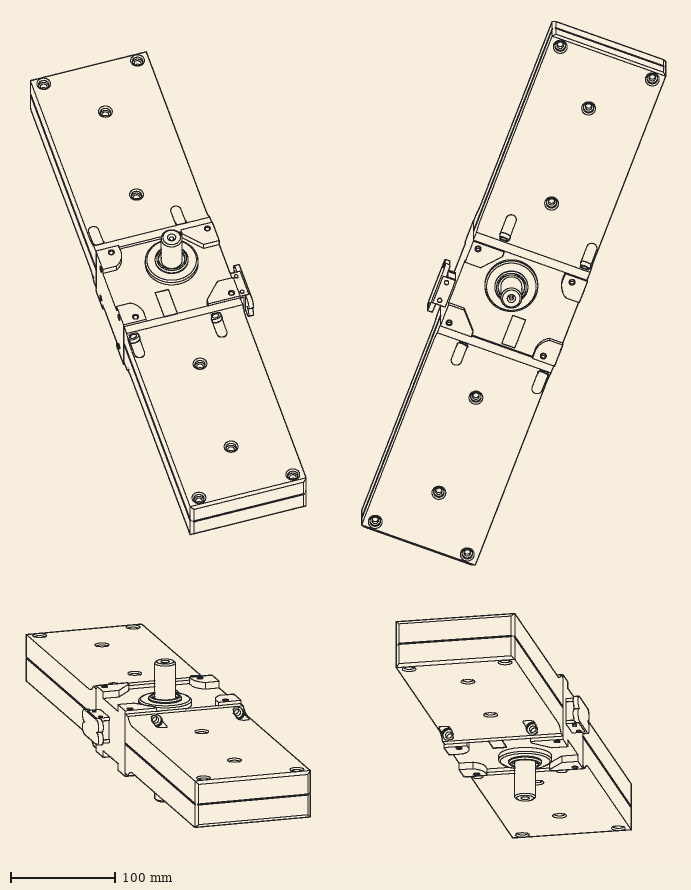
import cadquery as cq
import math


TOTAL_LENGTH = 529.0
ARM_WIDTH = 116.5
ARM_HEIGHT = 46.5
ARM_END_BEVEL_X = 2.0
ARM_END_BEVEL_INSET = 3.0
SEAM_WIDTH = 1.0
SEAM_DEPTH = 0.5
SHOULDER_HEIGHT = 59.0
SHOULDER_FLANK_X = 55.5
SHOULDER_CHAMFER = 1.5
SHOULDER_ARC_X = 67.5

BLOCK_LENGTH = 91.0
BLOCK_HEIGHT = 65.5
BLOCK_FRONT_STEP = 0.5
DECK_HEIGHT = 52.5
PAD_INNER_X = 23.0
PAD_CORNER_X = 40.5
BACK_PAD_BEVEL_Y = 42.5
BACK_PAD_EDGE_Y = 26.5
FRONT_PAD_EDGE_Y = -36.0
FRONT_PAD_ARC_MIDDLE = (28.0, -39.0)
FRONT_PAD_ARC_END_Y = -45.0

COVER_HOLE_DIAMETER = 6.5
COVER_BORE_DIAMETER = 10.0
COVER_RIM_DIAMETER = 13.0
COVER_BORE_DEPTH = 5.0
COVER_HOLE_DEPTH = 10.5
CORNER_HOLE_X = 255.0
CORNER_HOLE_Y = 47.0
MIDDLE_HOLES_X = (104.0, 206.5)
TROUGH_DIAMETER = 10.0
TROUGH_END_X = 80.5
TROUGH_Z = 24.0
SEAT_DIAMETER = 11.0
SEAT_X = 55.0
SEAT_LENGTH = 4.0
SHOULDER_HOLE_DIAMETER = 6.5
SHOULDER_HOLE_DEPTH = 6.5
TROUGHS_Y = (30.5, -52.0)
TAPPED_DIAMETER = 4.1
TAPPED_RIM_DIAMETER = 6.0
TAPPED_DEPTH = 8.0
PAD_HOLE_X = 39.5
PAD_HOLES_Y = (51.5, -45.0)
FRONT_HOLE_X = 29.5
FRONT_HOLE_Z = 24.0

PLATE_LENGTH = 30.0
PLATE_WIDTH = 13.0
PLATE_DEPTH = 0.5
PLATE_X = 28.5
PLATE_Y = -10.5

SHAFT_X = -15.0
SHAFT_Y = 8.0
SHAFT_LENGTH = 138.0
SHAFT_DIAMETER = 20.0
SHAFT_CHAMFER = 1.5
CENTRE_HOLE_DIAMETER = 4.1
CENTRE_HOLE_RIM_DIAMETER = 8.0
CENTRE_HOLE_DEPTH = 8.0
BOSS_DIAMETER = 51.0
BOSS_TOP_Z = 32.0
BOSS_CHAMFER = 1.5
RING_DIAMETER = 32.0
RING_TOP_Z = 34.5
RING_CHAMFER = 1.5
RING_RECESS_DIAMETER = 25.5
RING_RECESS_DEPTH = 2.5

CONNECTOR_X = 18.0
CONNECTOR_REACH = 14.5
NECK_LENGTH = 28.5
NECK_HEIGHT = 25.5
NECK_END_GAP = 1.5
SIDE_RECESS_HEIGHT = 19.0
SIDE_RECESS_DEPTH = 0.5
SIDE_RECESS_REACH = 8.0
FLANGE_LENGTH = 50.0
FLANGE_HEIGHT = 25.0
FLANGE_THICKNESS = 5.0
SCREW_HOLE_DIAMETER = 3.6
SCREW_HOLE_DEPTH = 5.5
SCREW_HEAD_DIAMETER = 4.1
SCREW_HEAD_HEIGHT = 1.0
SCREW_SPACING = 19.0
SCREW_REACH = 7.5

ARM_HALF_Z = ARM_HEIGHT / 2
BLOCK_HALF_X = BLOCK_LENGTH / 2
BLOCK_HALF_Z = BLOCK_HEIGHT / 2
DECK_Z = DECK_HEIGHT / 2
BACK_Y = ARM_WIDTH / 2
BLOCK_FRONT_Y = -ARM_WIDTH / 2 - BLOCK_FRONT_STEP
ENDS = (1, -1)


def z_cylinder(diameter, z_start, z_end, x, y):
    return cq.Workplane("XY", origin=(x, y, z_start)).circle(diameter / 2).extrude(z_end - z_start)


def arm_blank():
    """Arm with a raised shoulder against the block, above and below, on the +X side."""
    bevel_x = TOTAL_LENGTH / 2 - ARM_END_BEVEL_X
    bevel_taper = math.degrees(math.atan(ARM_END_BEVEL_INSET / ARM_END_BEVEL_X))
    blank = (
        cq.Workplane("YZ", origin=(BLOCK_HALF_X, 0, 0))
        .rect(ARM_WIDTH, ARM_HEIGHT)
        .extrude(bevel_x - BLOCK_HALF_X)
    )
    end_cap = (
        cq.Workplane("YZ", origin=(bevel_x, 0, 0))
        .rect(ARM_WIDTH, ARM_HEIGHT)
        .extrude(ARM_END_BEVEL_X, taper=bevel_taper)
    )
    top_z = SHOULDER_HEIGHT / 2
    run = SHOULDER_ARC_X - SHOULDER_FLANK_X
    rise = top_z - SHOULDER_CHAMFER - ARM_HALF_Z
    radius = (run**2 + rise**2) / (2 * rise)
    half_angle = math.asin(run / radius) / 2
    arc_middle = (
        SHOULDER_ARC_X - radius * math.sin(half_angle),
        ARM_HALF_Z + radius * (1 - math.cos(half_angle)),
    )
    shoulder = (
        cq.Workplane("XZ", origin=(0, ARM_WIDTH / 2, 0))
        .moveTo(BLOCK_HALF_X, 0)
        .lineTo(BLOCK_HALF_X, top_z)
        .lineTo(SHOULDER_FLANK_X - SHOULDER_CHAMFER, top_z)
        .lineTo(SHOULDER_FLANK_X, top_z - SHOULDER_CHAMFER)
        .threePointArc(arc_middle, (SHOULDER_ARC_X, ARM_HALF_Z))
        .lineTo(SHOULDER_ARC_X, 0)
        .close()
        .extrude(ARM_WIDTH)
    )
    return blank.union(end_cap).union(shoulder).union(shoulder.mirror("XY"))


def seam_groove():
    """Shallow groove around the arm at mid height."""
    length = TOTAL_LENGTH / 2 - BLOCK_HALF_X
    outer = cq.Workplane("XY").box(2 * length, 2 * ARM_WIDTH, SEAM_WIDTH)
    core = cq.Workplane("XY").box(
        2 * (length - SEAM_DEPTH), ARM_WIDTH - 2 * SEAM_DEPTH, SEAM_WIDTH
    )
    return outer.cut(core).translate((BLOCK_HALF_X, 0, 0))


def countersunk_hole(surface, rim_diameter, diameter, depth):
    """Blind hole with a 90 degree countersink, sunk against the normal of the surface plane."""
    start = cq.Workplane(surface)
    sink_depth = (rim_diameter - diameter) / 2
    drill = start.circle(diameter / 2).extrude(-depth)
    sink = (
        start.circle(rim_diameter / 2)
        .workplane(offset=-sink_depth)
        .circle(diameter / 2)
        .loft()
    )
    return drill.union(sink)


def cover_hole(x, y):
    """Counterbored screw hole in the top of the arm, with a bevelled rim."""
    surface = cq.Plane((x, y, ARM_HALF_Z))
    bore = countersunk_hole(surface, COVER_RIM_DIAMETER, COVER_BORE_DIAMETER, COVER_BORE_DEPTH)
    hole = z_cylinder(COVER_HOLE_DIAMETER, ARM_HALF_Z - COVER_HOLE_DEPTH, ARM_HALF_Z, x, y)
    return bore.union(hole)


def trough(y):
    """Ball-ended channel along X that leads to a screw hole in the shoulder."""
    radius = TROUGH_DIAMETER / 2
    ball_x = TROUGH_END_X - radius
    seat = cq.Workplane("YZ", origin=(SEAT_X, y, TROUGH_Z))
    channel = seat.circle(radius).extrude(ball_x - SEAT_X)
    ball = cq.Workplane("XY", origin=(ball_x, y, TROUGH_Z)).sphere(radius)
    seat_bore = seat.circle(SEAT_DIAMETER / 2).extrude(SEAT_LENGTH)
    hole = seat.circle(SHOULDER_HOLE_DIAMETER / 2).extrude(-SHOULDER_HOLE_DEPTH)
    return channel.union(ball).union(seat_bore).union(hole)


def make_arm():
    arm = arm_blank().cut(seam_groove())
    hole_places = [(CORNER_HOLE_X, side * CORNER_HOLE_Y) for side in ENDS]
    hole_places += [(x, 0) for x in MIDDLE_HOLES_X]
    cutters = [cover_hole(x, y) for x, y in hole_places]
    cutters += [trough(y) for y in TROUGHS_Y]
    for cutter in cutters:
        arm = arm.cut(cutter).cut(cutter.mirror("XY"))
    return arm


def corner_pads():
    """The +X pads on the top deck: a bevelled one at the back, a rounded one in front."""
    height = BLOCK_HALF_Z - DECK_Z
    deck = cq.Workplane("XY", origin=(0, 0, DECK_Z))
    back_pad = (
        deck.moveTo(BLOCK_HALF_X, BACK_Y)
        .lineTo(PAD_INNER_X, BACK_Y)
        .lineTo(PAD_INNER_X, BACK_PAD_BEVEL_Y)
        .lineTo(PAD_CORNER_X, BACK_PAD_EDGE_Y)
        .lineTo(BLOCK_HALF_X, BACK_PAD_EDGE_Y)
        .close()
        .extrude(height)
    )
    front_pad = (
        deck.moveTo(BLOCK_HALF_X, BLOCK_FRONT_Y)
        .lineTo(PAD_INNER_X, BLOCK_FRONT_Y)
        .lineTo(PAD_INNER_X, FRONT_PAD_ARC_END_Y)
        .threePointArc(FRONT_PAD_ARC_MIDDLE, (PAD_CORNER_X, FRONT_PAD_EDGE_Y))
        .lineTo(BLOCK_HALF_X, FRONT_PAD_EDGE_Y)
        .close()
        .extrude(height)
    )
    return back_pad, front_pad


def tapped_hole(surface):
    return countersunk_hole(surface, TAPPED_RIM_DIAMETER, TAPPED_DIAMETER, TAPPED_DEPTH)


def shaft_boss():
    """Round boss with a smaller, recessed ring on it, on the top deck around the shaft."""
    boss = z_cylinder(BOSS_DIAMETER, 0, BOSS_TOP_Z, SHAFT_X, SHAFT_Y)
    boss = boss.faces(">Z").chamfer(BOSS_CHAMFER)
    ring = z_cylinder(RING_DIAMETER, 0, RING_TOP_Z, SHAFT_X, SHAFT_Y)
    ring = ring.faces(">Z").chamfer(RING_CHAMFER)
    recess = z_cylinder(RING_RECESS_DIAMETER, RING_TOP_Z - RING_RECESS_DEPTH, RING_TOP_Z, SHAFT_X, SHAFT_Y)
    return boss.union(ring).cut(recess)


def connector():
    """Flange with two round lobes at each end, on a short neck on the back of the block."""
    neck_reach = CONNECTOR_REACH - NECK_END_GAP
    body = (
        cq.Workplane("XY")
        .box(NECK_LENGTH, neck_reach, NECK_HEIGHT)
        .translate((CONNECTOR_X, BACK_Y + neck_reach / 2, 0))
    )
    for side in ENDS:
        recess = (
            cq.Workplane("XY")
            .box(2 * SIDE_RECESS_DEPTH, SIDE_RECESS_REACH, SIDE_RECESS_HEIGHT)
            .translate((CONNECTOR_X + side * NECK_LENGTH / 2, BACK_Y + SIDE_RECESS_REACH / 2, 0))
        )
        body = body.cut(recess)

    lobe_radius = FLANGE_HEIGHT / 4
    lobe_spacing_x = FLANGE_LENGTH - 2 * lobe_radius
    flange_face = cq.Workplane("XZ", origin=(CONNECTOR_X, BACK_Y + CONNECTOR_REACH, 0))
    body = body.union(flange_face.rect(lobe_spacing_x, FLANGE_HEIGHT).extrude(FLANGE_THICKNESS))
    for side in ENDS:
        lobes = flange_face.center(0, side * lobe_radius).slot2D(FLANGE_LENGTH, 2 * lobe_radius)
        body = body.union(lobes.extrude(FLANGE_THICKNESS))

    top_z = NECK_HEIGHT / 2
    screw_y = BACK_Y + SCREW_REACH
    for side in ENDS:
        screw_x = CONNECTOR_X + side * SCREW_SPACING / 2
        hole = z_cylinder(SCREW_HOLE_DIAMETER, top_z - SCREW_HOLE_DEPTH, top_z, screw_x, screw_y)
        head = z_cylinder(SCREW_HEAD_DIAMETER, -top_z - SCREW_HEAD_HEIGHT, -top_z, screw_x, screw_y)
        body = body.cut(hole).union(head)
    return body


def make_block():
    depth = BACK_Y - BLOCK_FRONT_Y
    block = (
        cq.Workplane("XY")
        .box(BLOCK_LENGTH, depth, DECK_HEIGHT)
        .translate((0, (BACK_Y + BLOCK_FRONT_Y) / 2, 0))
    )
    raised = [shaft_boss()]
    for pad in corner_pads():
        raised += [pad, pad.mirror("YZ")]
    for part in raised:
        block = block.union(part).union(part.mirror("XY"))
    block = block.union(connector())

    cutters = [
        cq.Workplane("XY")
        .box(PLATE_LENGTH, PLATE_WIDTH, 2 * PLATE_DEPTH)
        .translate((PLATE_X, PLATE_Y, DECK_Z))
    ]
    for side in ENDS:
        for y in PAD_HOLES_Y:
            cutters.append(tapped_hole(cq.Plane((side * PAD_HOLE_X, y, BLOCK_HALF_Z))))
        front = cq.Plane((side * FRONT_HOLE_X, BLOCK_FRONT_Y, FRONT_HOLE_Z), normal=(0, -1, 0))
        cutters.append(tapped_hole(front))
    for cutter in cutters:
        block = block.cut(cutter).cut(cutter.mirror("XY"))
    return block.cut(z_cylinder(SHAFT_DIAMETER, -BLOCK_HEIGHT, BLOCK_HEIGHT, SHAFT_X, SHAFT_Y))


def make_shaft():
    half_length = SHAFT_LENGTH / 2
    shaft = z_cylinder(SHAFT_DIAMETER, -half_length, half_length, SHAFT_X, SHAFT_Y)
    shaft = shaft.faces("<Z or >Z").chamfer(SHAFT_CHAMFER)
    end_face = cq.Plane((SHAFT_X, SHAFT_Y, half_length))
    hole = countersunk_hole(end_face, CENTRE_HOLE_RIM_DIAMETER, CENTRE_HOLE_DIAMETER, CENTRE_HOLE_DEPTH)
    return shaft.cut(hole).cut(hole.mirror("XY"))


block = make_block()
shaft = make_shaft()
right_arm = make_arm()
left_arm = right_arm.mirror("YZ")

result = cq.Compound.makeCompound([block.val(), shaft.val(), right_arm.val(), left_arm.val()])